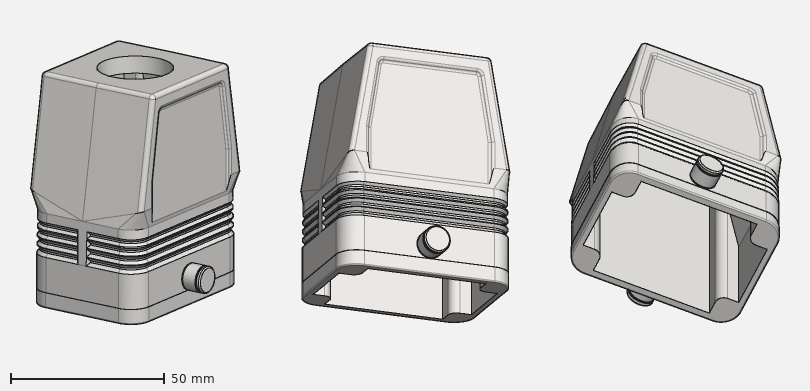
import cadquery as cq
import math

HEIGHT = 77.25
BASE_X = 43.4
BASE_Y = 60.0
PIN_SPAN = 58.0
CORNER_R = 7.1

RIM_HEIGHT = 5.25
RIM_STEP = 0.1
RIM_FILLET = 0.5
BASE_TOP = 17.3
NECK_TOP = 32.3
NECK_DRAFT = 0.3
WALL_X = BASE_X - 2 * RIM_STEP
WALL_Y = BASE_Y - 2 * RIM_STEP
NECK_X = BASE_X - 2 * NECK_DRAFT
NECK_Y = BASE_Y - 2 * NECK_DRAFT

GROOVE_COUNT = 4
GROOVE_PITCH = 3.0
GROOVE_FLOOR = 0.6
GROOVE_SLOPE = 1.15
GROOVE_DEPTH = 1.0
STRIP_WIDTH = 3.25

HOOD_X = 45.1
HOOD_TOP_Y = 43.6
HOOD_FILLET = 1.55
CREASE = 0.3
SHOULDER_Z = 39.0

PANEL_DEPTH = 0.9
PANEL_TOP_Z = 71.7
PANEL_KNEE_Z = 48.0
PANEL_TOP_Y = 35.2
PANEL_KNEE_Y = 43.1
PANEL_CORNER_R = 1.9
PANEL_WALL_RUN = 0.8
PANEL_FILLET = 1.2

PIN_R = 4.55
PIN_Z = 9.8
PIN_CHAMFER = 0.5
PIN_GROOVE_DEPTH = 0.3
PIN_GROOVE_WIDTH = 0.4
PIN_GROOVE_INSET = 1.5

ENTRY_DIA = 25.0
ROOF_THICKNESS = 5.9
CAVITY_X = 38.3
CAVITY_Y = 41.4
BAY_X = 22.9
BAY_WALL = 1.9
BAY_MOUTH_R = 3.1


def both_sides(body):
    """Body together with its mirror image on the opposite X side."""
    return body.union(body.mirror("YZ"))


def rounded_prism(length_x, length_y, radius, z_low, z_high):
    block = cq.Workplane("XY").workplane(offset=z_low).rect(length_x, length_y).extrude(z_high - z_low)
    return block.edges("|Z").fillet(radius)


def rounded_loft(low, high):
    """Ruled body between two rounded rectangles, each (length_x, length_y, radius, z)."""
    sketches = []
    for length_x, length_y, radius, z in (low, high):
        sketch = cq.Sketch().rect(length_x, length_y).vertices().fillet(radius)
        sketches.append(sketch.moved(cq.Location(cq.Vector(0, 0, z))))
    return cq.Workplane("XY").placeSketch(*sketches).loft(ruled=True)


def hood_y(z):
    """Y length of the hood along its crease at height z."""
    return NECK_Y + (HOOD_TOP_Y - NECK_Y) * (z - NECK_TOP) / (HEIGHT - NECK_TOP)


def make_base():
    rim = rounded_prism(BASE_X, BASE_Y, CORNER_R, 0, RIM_HEIGHT).faces("<Z").edges().fillet(RIM_FILLET)
    wall = rounded_prism(WALL_X, WALL_Y, CORNER_R, RIM_HEIGHT, BASE_TOP)
    return rim.union(wall)


def groove_strips():
    """Full-height strips that interrupt the grooves on the Y sides, with sloping flanks."""
    face_y = WALL_Y / 2
    root_y = face_y - GROOVE_DEPTH
    half_face = STRIP_WIDTH / 2
    half_root = half_face + GROOVE_DEPTH
    points = [
        (half_face, BASE_Y), (half_face, face_y), (half_root, root_y), (half_root, 0),
        (-half_root, 0), (-half_root, root_y), (-half_face, face_y), (-half_face, BASE_Y),
    ]
    strip = cq.Workplane("XY").polyline(points).close().extrude(HEIGHT)
    return strip.union(strip.mirror("XZ"))


def groove_ring(start):
    """Trapezoidal groove all around the neck, starting at height start."""
    floor_low = start + GROOVE_SLOPE
    floor_high = floor_low + GROOVE_FLOOR
    end = floor_high + GROOVE_SLOPE
    outer = (WALL_X, WALL_Y, CORNER_R)
    inner = (WALL_X - 2 * GROOVE_DEPTH, WALL_Y - 2 * GROOVE_DEPTH, CORNER_R - GROOVE_DEPTH)
    core = rounded_loft((*outer, start), (*inner, floor_low))
    core = core.union(rounded_loft((*inner, floor_low), (*inner, floor_high)))
    core = core.union(rounded_loft((*inner, floor_high), (*outer, end)))
    slab = cq.Workplane("XY").workplane(offset=start).rect(2 * BASE_X, 2 * BASE_Y).extrude(end - start)
    return slab.cut(core)


def make_neck():
    neck = rounded_loft((WALL_X, WALL_Y, CORNER_R, BASE_TOP), (NECK_X, NECK_Y, CORNER_R, NECK_TOP))
    strips = groove_strips()
    for index in range(GROOVE_COUNT):
        neck = neck.cut(groove_ring(BASE_TOP + index * GROOVE_PITCH).cut(strips))
    return neck


def hood_section(z):
    """Six-sided outline of the hood at height z, creased in the middle of each Y side."""
    half_x = HOOD_X / 2
    ridge_y = hood_y(z) / 2
    edge_y = ridge_y - CREASE
    points = [
        (half_x, edge_y), (0, ridge_y), (-half_x, edge_y),
        (-half_x, -edge_y), (0, -ridge_y), (half_x, -edge_y),
    ]
    return cq.Wire.makePolygon([cq.Vector(x, y, z) for x, y in points], close=True)


def make_hood():
    half_x = HOOD_X / 2
    hood = cq.Workplane(cq.Solid.makeLoft([hood_section(NECK_TOP), hood_section(HEIGHT)], True))
    corners = hood.edges("not #Z").edges(">X or <X")
    hood = hood.newObject(corners.vals() + hood.faces(">Z").edges().vals()).fillet(HOOD_FILLET)

    arrow = [
        (0, NECK_TOP), (half_x, SHOULDER_Z), (half_x, HEIGHT),
        (-half_x, HEIGHT), (-half_x, SHOULDER_Z),
    ]
    hood = hood.intersect(cq.Workplane("XZ").polyline(arrow).close().extrude(BASE_Y, both=True))
    shoulder = rounded_loft(
        (NECK_X, NECK_Y, CORNER_R, NECK_TOP),
        (HOOD_X, hood_y(SHOULDER_Z) - 2 * CREASE, HOOD_FILLET, SHOULDER_Z),
    )
    return hood.union(shoulder)


def make_panel_block():
    """Oversized block, as wide as the hood, with a recessed panel in each X side.

    The recess walls slope and are rounded at the rim and at the floor.
    """
    face_x = HOOD_X / 2
    floor_x = face_x - PANEL_DEPTH
    inset = PANEL_WALL_RUN / 2
    knee_y = PANEL_KNEE_Y / 2 + inset
    top_y = PANEL_TOP_Y / 2 + inset
    outline = [
        (-knee_y, 0), (knee_y, 0), (knee_y, PANEL_KNEE_Z),
        (top_y, PANEL_TOP_Z + inset), (-top_y, PANEL_TOP_Z + inset), (-knee_y, PANEL_KNEE_Z),
    ]
    draft = math.degrees(math.atan(PANEL_WALL_RUN / PANEL_DEPTH))
    sketch = cq.Sketch().polygon(outline + outline[:1])
    sketch = sketch.vertices(">Y").fillet(PANEL_CORNER_R)
    side_plane = cq.Workplane("YZ").workplane(offset=face_x)
    recess = side_plane.placeSketch(sketch).extrude(-PANEL_DEPTH, taper=draft)
    block = cq.Workplane("XY").box(HOOD_X, 2 * BASE_Y, 3 * HEIGHT).cut(both_sides(recess))
    reach_y = BASE_Y / 2
    margin = PANEL_DEPTH / 10
    for x in (face_x, floor_x, -face_x, -floor_x):
        low_corner = (x - margin, -reach_y, RIM_HEIGHT)
        high_corner = (x + margin, reach_y, HEIGHT)
        outline_edges = cq.selectors.BoxSelector(low_corner, high_corner)
        block = block.edges(outline_edges).fillet(PANEL_FILLET)
    return block


def make_pin():
    """Pin on the +X side with a narrow groove near its tip and at its root."""
    root = CAVITY_X / 2
    tip = PIN_SPAN / 2
    pin = cq.Workplane("YZ").workplane(offset=root).center(0, PIN_Z).circle(PIN_R).extrude(tip - root)
    pin = pin.faces(">X").edges().chamfer(PIN_CHAMFER)
    for groove_x in (tip - PIN_GROOVE_INSET - PIN_GROOVE_WIDTH, WALL_X / 2):
        groove = (
            cq.Workplane("YZ").workplane(offset=groove_x).center(0, PIN_Z)
            .circle(2 * PIN_R).circle(PIN_R - PIN_GROOVE_DEPTH).extrude(PIN_GROOVE_WIDTH)
        )
        pin = pin.cut(groove)
    return pin


def make_cavity():
    """Open-bottomed shaft with a bay on each Y side whose outer wall follows the hood."""
    roof_z = HEIGHT - ROOF_THICKNESS
    shaft = cq.Workplane("XY").rect(CAVITY_X, CAVITY_Y).extrude(roof_z)
    neck_half = NECK_Y / 2 - BAY_WALL
    roof_half = hood_y(roof_z) / 2 - BAY_WALL
    profile = [
        (-neck_half, 0), (neck_half, 0), (neck_half, NECK_TOP), (roof_half, roof_z),
        (-roof_half, roof_z), (-neck_half, NECK_TOP),
    ]
    mouth_x = BAY_X / 2 + BAY_MOUTH_R
    mouth_y = CAVITY_Y / 2 + BAY_MOUTH_R
    plan = cq.Workplane("XY").rect(BAY_X, BASE_Y).extrude(roof_z)
    plan = plan.union(cq.Workplane("XY").rect(2 * mouth_x, 2 * mouth_y).extrude(roof_z))
    corners = [(mouth_x, mouth_y), (mouth_x, -mouth_y), (-mouth_x, mouth_y), (-mouth_x, -mouth_y)]
    plan = plan.cut(cq.Workplane("XY").pushPoints(corners).circle(BAY_MOUTH_R).extrude(roof_z))
    bay = cq.Workplane("YZ").polyline(profile).close().extrude(BASE_X, both=True).intersect(plan)
    entry = cq.Workplane("XY").circle(ENTRY_DIA / 2).extrude(HEIGHT)
    return shaft.union(bay).union(entry)


hood = make_hood().intersect(make_panel_block())
shell = make_base().union(make_neck()).union(hood)
result = shell.union(both_sides(make_pin())).cut(make_cavity())